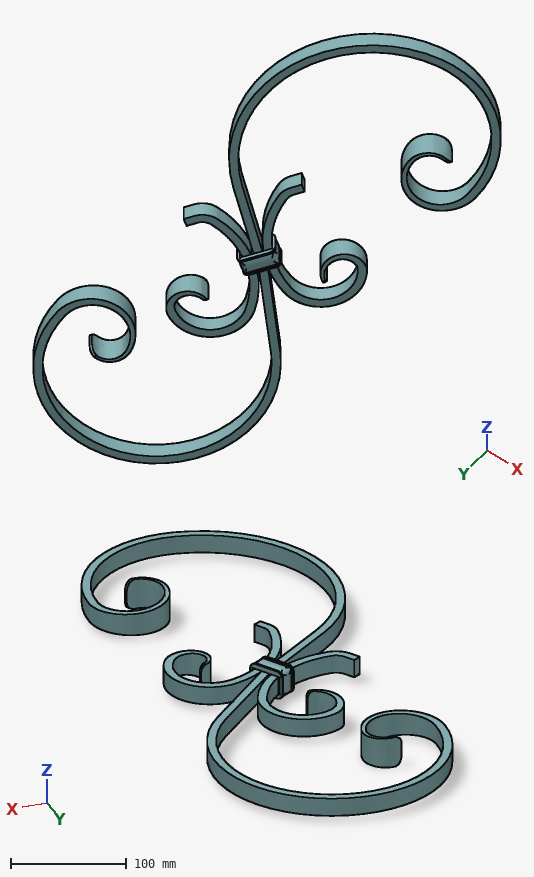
import cadquery as cq
import math

BAR_WIDTH = 8.0
BAR_DEPTH = 17.0
TIP_WIDTH = 2.3
MAIN_TIP_DEPTH = 29.65
MAIN_TIP_CORNER = 10.0
SIDE_TIP_DEPTH = 28.0
SIDE_TIP_CORNER = 6.0
CUTTER_WIDTH = 8.0
LOFT_STATIONS = 17


UPPER_START = (7.9, 10.16)
UPPER_HEADING = 45.39
UPPER_BODY = [("line", 96.79), ("arc", 103.92, 149.72), ("arc", 95.65, 75.25)]
UPPER_TIP = [("arc", 34.52, 170.2), ("arc", 17.76, 131.51)]
LOWER_START = (7.17, 10.86)
LOWER_HEADING = 218.1
LOWER_BODY = [("line", 85.45), ("arc", 119.82, 132.78), ("arc", 95.46, 99.63)]
LOWER_TIP = [("arc", 33.07, 176.62), ("arc", 19.82, 123.59)]

FOOT_LENGTH = 9.8
FOOT_RADIUS = 17.0
WAIST_RADIUS = 88.2
HEAD_RADIUS = 36.1
CURL_RADIUS = 17.4
LEFT_FOOT = (-72.09, 16.61)
LEFT_HEADING = -57.8
LEFT_SWEEPS = (57.3, 68.55, 139.9, 172.5)
RIGHT_FOOT = (-14.45, -75.51)
RIGHT_HEADING = 122.1
RIGHT_SWEEPS = (-38.1, -68.75, -138.45, -220.9)

COLLAR_CENTER = (3.7, 9.4)
COLLAR_ANGLE = 32.5
COLLAR_LENGTH = 17.0
COLLAR_WIDTH = 35.0
COLLAR_DEPTH = 26.5
COLLAR_CORNER_RADIUS = 6.0
RIM_LENGTH = 1.8
BAND_INSET = 0.3
BAND_CROWN = 2.2
CORE_WIDTH = 29.6


def advance(point, heading, piece, fraction=1.0):
    """Point and heading reached after part of a piece."""
    x, y = point
    angle = math.radians(heading)
    if piece[0] == "line":
        travel = piece[1] * fraction
        return (x + travel * math.cos(angle), y + travel * math.sin(angle)), heading
    radius = math.copysign(piece[1], piece[2])
    new_heading = heading + piece[2] * fraction
    new_angle = math.radians(new_heading)
    new_x = x + radius * (math.sin(new_angle) - math.sin(angle))
    new_y = y + radius * (math.cos(angle) - math.cos(new_angle))
    return (new_x, new_y), new_heading


def beside(point, heading, offset):
    """Point at a sideways offset from a path, positive to the left."""
    angle = math.radians(heading)
    return (point[0] - offset * math.sin(angle), point[1] + offset * math.cos(angle))


def piece_length(piece):
    return piece[1] if piece[0] == "line" else piece[1] * math.radians(abs(piece[2]))


def bar_piece(point, heading, piece):
    """Plain rectangular bar along one piece of a path."""
    half = BAR_WIDTH / 2
    middle = advance(point, heading, piece, 0.5)
    end = advance(point, heading, piece)
    outline = cq.Workplane("XY", origin=(0, 0, -BAR_DEPTH / 2)).moveTo(*beside(point, heading, half))
    if piece[0] == "line":
        outline = outline.lineTo(*beside(*end, half)).lineTo(*beside(*end, -half))
        outline = outline.lineTo(*beside(point, heading, -half))
    else:
        outline = outline.threePointArc(beside(*middle, half), beside(*end, half))
        outline = outline.lineTo(*beside(*end, -half))
        outline = outline.threePointArc(beside(*middle, -half), beside(point, heading, -half))
    return outline.close().extrude(BAR_DEPTH)


def station(point, heading, width, depth):
    """Rectangular cross-section square to the path."""
    left = beside(point, heading, width / 2)
    right = beside(point, heading, -width / 2)
    corners = [
        cq.Vector(*left, -depth / 2),
        cq.Vector(*left, depth / 2),
        cq.Vector(*right, depth / 2),
        cq.Vector(*right, -depth / 2),
    ]
    return cq.Wire.makePolygon(corners, close=True)


def tip_corner_cutter(point, heading, corner_height, radius):
    """Waste outside the rounded corner at a tip's upper (positive) or lower (negative) end."""
    center, _ = advance(point, heading, ("line", -radius))
    angle = math.radians(heading)
    side = math.copysign(1, corner_height)
    frame = cq.Plane(
        origin=(*center, corner_height - side * radius),
        xDir=(math.cos(angle), math.sin(angle), 0),
        normal=(math.sin(angle), -math.cos(angle), 0),
    )
    diagonal = radius * math.sqrt(0.5)
    waste = cq.Workplane(frame).moveTo(0, side * radius)
    waste = waste.threePointArc((diagonal, side * diagonal), (radius, 0))
    waste = waste.lineTo(2 * radius, 0).lineTo(2 * radius, 2 * side * radius).lineTo(0, 2 * side * radius)
    return waste.close().extrude(CUTTER_WIDTH / 2, both=True)


def flared_tip(point, heading, pieces, tip_depth, tip_corner):
    """Curl that thins and flares evenly along its length, with rounded end corners."""
    lengths = [piece_length(piece) for piece in pieces]
    total = sum(lengths)
    sections = []
    for index in range(LOFT_STATIONS):
        fraction = index / (LOFT_STATIONS - 1)
        remaining = fraction * total
        place = (point, heading)
        for piece, length in zip(pieces, lengths):
            step = min(remaining, length)
            place = advance(*place, piece, step / length)
            remaining -= step
        width = BAR_WIDTH + (TIP_WIDTH - BAR_WIDTH) * fraction
        depth = BAR_DEPTH + (tip_depth - BAR_DEPTH) * fraction
        sections.append(station(*place, width, depth))
    curl = cq.Workplane(obj=cq.Solid.makeLoft(sections))
    for side in (1, -1):
        curl = curl.cut(tip_corner_cutter(*place, side * tip_depth / 2, tip_corner))
    return curl


def strand(point, heading, body, tip, tip_depth, tip_corner):
    """Complete bar: plain pieces followed by a flared tip."""
    place = (point, heading)
    solid = None
    for piece in body:
        bar = bar_piece(*place, piece)
        solid = bar if solid is None else solid.union(bar)
        place = advance(*place, piece)
    return solid.union(flared_tip(*place, tip, tip_depth, tip_corner))


def main_scroll(start, heading, body, tip):
    return strand(start, heading, body, tip, MAIN_TIP_DEPTH, MAIN_TIP_CORNER)


def side_scroll(foot, heading, sweeps):
    """Scroll with a plain foot; its sweeps are for the foot, waist, head and curl arcs."""
    foot_sweep, waist_sweep, head_sweep, curl_sweep = sweeps
    body = [
        ("line", FOOT_LENGTH),
        ("arc", FOOT_RADIUS, foot_sweep),
        ("arc", WAIST_RADIUS, waist_sweep),
        ("arc", HEAD_RADIUS, head_sweep),
    ]
    tip = [("arc", CURL_RADIUS, curl_sweep)]
    return strand(foot, heading, body, tip, SIDE_TIP_DEPTH, SIDE_TIP_CORNER)


def make_scrollwork():
    """Four scrolls welded into one piece where they meet in the collar."""
    upper = main_scroll(UPPER_START, UPPER_HEADING, UPPER_BODY, UPPER_TIP)
    lower = main_scroll(LOWER_START, LOWER_HEADING, LOWER_BODY, LOWER_TIP)
    left = side_scroll(LEFT_FOOT, LEFT_HEADING, LEFT_SWEEPS)
    right = side_scroll(RIGHT_FOOT, RIGHT_HEADING, RIGHT_SWEEPS)
    return upper.union(lower).union(left).union(right).union(make_core())


def place_on_collar(body):
    """Move a body built about the X axis at the origin to the collar's place."""
    return body.rotate((0, 0, 0), (0, 0, 1), COLLAR_ANGLE).translate((*COLLAR_CENTER, 0))


def make_core():
    """Weld that joins the bars inside the collar."""
    return place_on_collar(cq.Workplane("XY").box(COLLAR_LENGTH, CORE_WIDTH, BAR_DEPTH))


def rounded_block(start, length, inset):
    """Block along X with the collar's rounded outline, shrunk by an inset."""
    block = cq.Workplane("YZ", origin=(start, 0, 0))
    block = block.rect(COLLAR_WIDTH - 2 * inset, COLLAR_DEPTH - 2 * inset).extrude(length)
    return block.edges("|X").fillet(COLLAR_CORNER_RADIUS - inset)


def crowned_slab(plane, size, thickness):
    """Slab whose two long faces bulge along X, extruded symmetrically through the thickness."""
    half_length = COLLAR_LENGTH / 2
    crown = size / 2 - BAND_INSET
    edge = crown - BAND_CROWN
    slab = cq.Workplane(plane).moveTo(-half_length, -edge)
    slab = slab.threePointArc((0, -crown), (half_length, -edge)).lineTo(half_length, edge)
    slab = slab.threePointArc((0, crown), (-half_length, edge)).close()
    return slab.extrude(thickness / 2, both=True)


def make_collar():
    """Crowned band with a raised rim at each end, open for the core."""
    half_length = COLLAR_LENGTH / 2
    band = rounded_block(-half_length, COLLAR_LENGTH, BAND_INSET)
    band = band.intersect(crowned_slab("XY", COLLAR_WIDTH, COLLAR_DEPTH))
    band = band.intersect(crowned_slab("XZ", COLLAR_DEPTH, COLLAR_WIDTH))
    for rim_start in (-half_length, half_length - RIM_LENGTH):
        band = band.union(rounded_block(rim_start, RIM_LENGTH, 0))
    return place_on_collar(band.cut(cq.Workplane("XY").box(COLLAR_LENGTH, CORE_WIDTH, BAR_DEPTH)))


scrollwork = make_scrollwork()
collar = make_collar()
result = cq.Compound.makeCompound([*scrollwork.vals(), *collar.vals()])